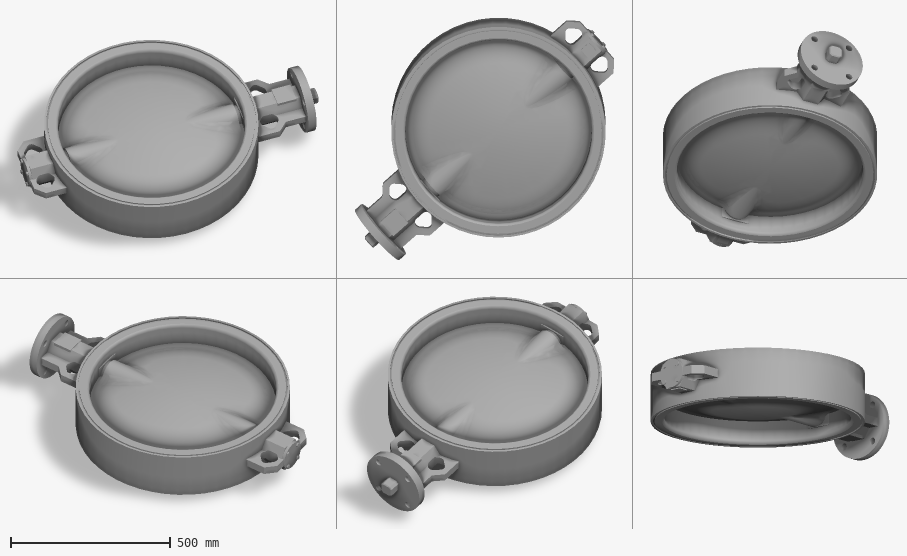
import cadquery as cq
import math


body_radius = 336
body_height = 156
body_top = body_height / 2
bore_radius = 293
entry_radius = 300
entry_depth = 11
groove_outer_radius = 329.5
groove_inner_radius = 324
groove_depth = 5

rim_half_thickness = 4
blend_outer_radius = 275
blend_inner_radius = 261
crown_height = 50
hub_radius = 42
hub_fillet = 44
hub_end = 277
shaft_radius = 36
shaft_land_start = 288
shaft_land_width = 90
shaft_land_height = 80

neck_half_width = 46
neck_half_height = 45.5
neck_side_half_height = 13
upper_neck_flat_half_width = 25
lower_neck_flat_half_width = 27.5
neck_root = 310

stem_top = 547
stem_width = 42
stem_corner = 8
stem_tip_chamfer = 3
flange_top = 511.5
flange_thickness = 27
flange_bottom = flange_top - flange_thickness
flange_radius = 105
flange_bolt_circle_radius = 82.5
flange_hole_diameter = 22

lug_thickness = 27
lug_half_width = 110
lug_chamfer = 29.5
upper_lug_shoulder = 388.5
lower_lug_end = 415.5
lug_hole_y = 370.5
lug_hole_inner_x = 41.5
lug_hole_apex_x = 98
lug_hole_half_base = 52.7
lug_hole_base_fillet = 17.8
lug_hole_apex_fillet = 14

pad_height = 3
upper_pad_width = 61
upper_pad_length = 62.5
upper_pad_y = 439
upper_pad_thickness = 10
lower_pad_width = 36
lower_pad_length = 34
lower_pad_y = -380.5

cap_radius = 46
cap_inner_end = 409
cap_outer_end = 418
cap_bolt_circle_radius = 37
cap_bolt_radius = 7
lower_end = 423

bolt_count = 4
bolt_start_angle = 45

selection_margin = 1


def along_y(start_y):
    """Workplane at start_y facing +Y, with local x along -X and local y along Z."""
    return cq.Workplane("XZ", origin=(0, start_y, 0)).transformed(rotate=(0, 180, 0))


def box_between(x_size, y_start, y_end, z_size):
    """Block centred on X and Z, running from y_start to y_end."""
    return cq.Workplane("XY").box(x_size, y_end - y_start, z_size).translate((0, (y_start + y_end) / 2, 0))


def make_ring():
    upper_half = (
        cq.Workplane("XZ")
        .moveTo(bore_radius, 0)
        .lineTo(bore_radius, body_top - entry_depth)
        .tangentArcPoint((entry_radius, body_top), relative=False)
        .lineTo(body_radius, body_top)
        .lineTo(body_radius, 0)
        .close()
        .revolve(360, (0, 0, 0), (0, 1, 0))
    )
    groove = (
        cq.Workplane("XY", origin=(0, 0, body_top - groove_depth))
        .circle(groove_outer_radius)
        .circle(groove_inner_radius)
        .extrude(groove_depth)
    )
    upper_half = upper_half.cut(groove)
    return upper_half.union(upper_half.mirror("XY"), clean=True)


def make_dome():
    """Solid of revolution: crowned dome running tangentially into the flat rim."""
    dome_edge = crown_height - (crown_height - rim_half_thickness) * blend_inner_radius / blend_outer_radius
    sag = crown_height - dome_edge
    dome_curvature = (blend_inner_radius ** 2 + sag ** 2) / (2 * sag)
    half_radius = blend_inner_radius / 2
    half_height = crown_height - dome_curvature + math.sqrt(dome_curvature ** 2 - half_radius ** 2)
    return (
        cq.Workplane("XZ")
        .moveTo(0, -body_top)
        .lineTo(body_radius, -body_top)
        .lineTo(body_radius, rim_half_thickness)
        .lineTo(blend_outer_radius, rim_half_thickness)
        .tangentArcPoint((blend_inner_radius, dome_edge), relative=False)
        .threePointArc((half_radius, half_height), (0, crown_height))
        .close()
        .revolve(360, (0, 0, 0), (0, 1, 0))
    )


def make_disc():
    hub_overhang = body_radius + hub_radius
    hubs = along_y(-hub_overhang).circle(hub_radius).extrude(2 * hub_overhang)
    hubs = hubs.rotate((0, 0, 0), (0, 1, 0), 90)
    hub_region = cq.selectors.BoxSelector(
        (-2 * hub_radius, -blend_outer_radius - hub_fillet, rim_half_thickness - selection_margin),
        (2 * hub_radius, blend_outer_radius + hub_fillet, hub_radius - selection_margin),
    )
    blended = make_dome().union(hubs).edges(hub_region).fillet(hub_fillet)
    upper_half = cq.Workplane("XY").circle(bore_radius).extrude(body_top)
    between_hub_ends = box_between(2 * body_radius, -hub_end, hub_end, body_height)
    face = blended.intersect(upper_half).intersect(between_hub_ends)
    rim = cq.Workplane("XY").circle(bore_radius).extrude(rim_half_thickness)
    face = face.union(rim)
    disc = face.union(face.mirror("XY"))
    land_back = bore_radius + entry_depth
    land = box_between(shaft_land_width, shaft_land_start, land_back, shaft_land_height)
    land = land.union(along_y(hub_end).circle(shaft_radius).extrude(land_back - hub_end))
    return disc.union(land).union(land.mirror("XZ"))


def make_neck(flat_half_width, y_start, y_end):
    section = [
        (neck_half_width, neck_side_half_height),
        (flat_half_width, neck_half_height),
        (-flat_half_width, neck_half_height),
        (-neck_half_width, neck_side_half_height),
        (-neck_half_width, -neck_side_half_height),
        (-flat_half_width, -neck_half_height),
        (flat_half_width, -neck_half_height),
        (neck_half_width, -neck_side_half_height),
    ]
    return along_y(y_start).polyline(section).close().extrude(y_end - y_start)


def make_lug_plate(outline):
    return cq.Workplane("XY").polyline(outline).close().extrude(lug_thickness / 2, both=True)


def make_lug_hole(side_x, side_y):
    """Rounded triangular opening with its straight side against the neck."""
    base_x = side_x * lug_hole_inner_x
    centre_y = side_y * lug_hole_y
    hole = (
        cq.Workplane("XY")
        .polyline([
            (base_x, centre_y - lug_hole_half_base),
            (base_x, centre_y + lug_hole_half_base),
            (side_x * lug_hole_apex_x, centre_y),
        ])
        .close()
        .extrude(body_top, both=True)
    )
    base_edges = cq.selectors.BoxSelector(
        (base_x - selection_margin, centre_y - body_radius, -body_height),
        (base_x + selection_margin, centre_y + body_radius, body_height),
    )
    hole = hole.edges("|Z").edges(base_edges).fillet(lug_hole_base_fillet)
    apex_side = ">X" if side_x > 0 else "<X"
    return hole.edges("|Z").edges(apex_side).fillet(lug_hole_apex_fillet)


def make_upper_neck():
    narrow = lug_half_width - lug_chamfer
    chamfer_end = upper_lug_shoulder + lug_chamfer
    neck = make_neck(upper_neck_flat_half_width, neck_root, flange_bottom)
    plate = make_lug_plate([
        (lug_half_width, neck_root),
        (lug_half_width, upper_lug_shoulder),
        (narrow, chamfer_end),
        (narrow, flange_bottom),
        (-narrow, flange_bottom),
        (-narrow, chamfer_end),
        (-lug_half_width, upper_lug_shoulder),
        (-lug_half_width, neck_root),
    ])
    pad_centre_z = neck_half_height + pad_height - upper_pad_thickness / 2
    neck = neck.union(plate)
    for side in (1, -1):
        pad = cq.Workplane("XY").box(upper_pad_width, upper_pad_length, upper_pad_thickness)
        neck = neck.union(pad.translate((0, upper_pad_y, side * pad_centre_z)))
    return neck


def make_lower_neck():
    narrow = lug_half_width - lug_chamfer
    shoulder = lower_lug_end - lug_chamfer
    neck = make_neck(lower_neck_flat_half_width, -cap_inner_end, -neck_root)
    plate = make_lug_plate([
        (lug_half_width, -neck_root),
        (lug_half_width, -shoulder),
        (narrow, -lower_lug_end),
        (-narrow, -lower_lug_end),
        (-lug_half_width, -shoulder),
        (-lug_half_width, -neck_root),
    ])
    pad = (
        cq.Workplane("XY", origin=(0, lower_pad_y, -neck_half_height - pad_height))
        .rect(lower_pad_width, lower_pad_length)
        .extrude(neck_half_height)
    )
    return neck.union(plate).union(pad)


def make_end_cap():
    cap = along_y(-cap_outer_end).circle(cap_radius).extrude(cap_outer_end - cap_inner_end)
    bolts = (
        along_y(-lower_end)
        .polarArray(cap_bolt_circle_radius, bolt_start_angle, 360, bolt_count)
        .polygon(6, 2 * cap_bolt_radius)
        .extrude(lower_end - cap_outer_end)
    )
    return cap.union(bolts)


def make_flange_and_stem():
    flange = along_y(flange_bottom).circle(flange_radius).extrude(flange_thickness)
    holes = (
        along_y(flange_bottom)
        .polarArray(flange_bolt_circle_radius, bolt_start_angle, 360, bolt_count)
        .circle(flange_hole_diameter / 2)
        .extrude(flange_thickness)
    )
    stem = box_between(stem_width, flange_bottom, stem_top, stem_width)
    stem = stem.edges("|Y").chamfer(stem_corner)
    stem = stem.faces(">Y").chamfer(stem_tip_chamfer)
    return flange.cut(holes).union(stem)


necks = make_upper_neck().union(make_lower_neck())
for side_x in (1, -1):
    for side_y in (1, -1):
        necks = necks.cut(make_lug_hole(side_x, side_y))

body_core = cq.Workplane("XY").circle(body_radius).extrude(body_top, both=True)
necks = necks.cut(body_core)

result = (
    make_ring()
    .union(make_disc())
    .union(necks)
    .union(make_end_cap())
    .union(make_flange_and_stem())
)